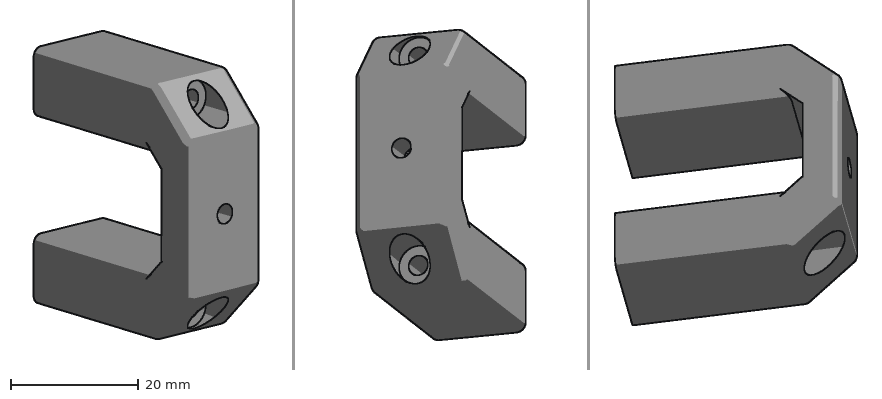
import cadquery as cq

length = 36.0
width = 16.0
height = 42.0

leg_thickness = 11.45
web_thickness = 6.0
outer_chamfer = 8.0
inner_chamfer = 1.97
edge_radius = 1.6

hole_diameter = 3.2
counterbore_diameter = 6.4
leg_hole_height = height / 2 - outer_chamfer / 2
counterbore_floor = length - outer_chamfer

half_height = height / 2
half_gap = half_height - leg_thickness
web_inner_x = length - web_thickness
side_y = width / 2


def make_outer_block():
    """Solid block with chamfered back corners and rounded outer edges."""
    block = cq.Workplane("XY").box(length, width, height, centered=(False, True, True))
    block = block.edges(">X and |Y").chamfer(outer_chamfer)
    open_end_edges = block.faces("<X").edges().vals()
    rounded_edges = [
        edge for edge in block.edges().vals() if not any(edge.isSame(end) for end in open_end_edges)
    ]
    return block.newObject(rounded_edges).fillet(edge_radius)


def make_gap():
    """Opening between the legs, chamfered where it meets the web."""
    return (
        cq.Workplane("XZ", origin=(0, side_y, 0))
        .moveTo(0, -half_gap)
        .lineTo(web_inner_x - inner_chamfer, -half_gap)
        .lineTo(web_inner_x, inner_chamfer - half_gap)
        .lineTo(web_inner_x, half_gap - inner_chamfer)
        .lineTo(web_inner_x - inner_chamfer, half_gap)
        .lineTo(0, half_gap)
        .close()
        .extrude(width)
    )


def make_leg_edge_cutter(y_sign, z_sign):
    """Waste outside the round on a leg's inner edge, ending flush with the inner chamfer."""
    arc_y = y_sign * (side_y - edge_radius)
    arc_z = z_sign * (half_gap + edge_radius)
    corner_y = y_sign * side_y
    corner_z = z_sign * half_gap
    waste = (
        cq.Workplane("YZ")
        .moveTo(arc_y, corner_z)
        .lineTo(corner_y, corner_z)
        .lineTo(corner_y, arc_z)
        .radiusArc((arc_y, corner_z), y_sign * z_sign * edge_radius)
        .close()
        .extrude(web_inner_x)
    )
    chamfer_start = web_inner_x - inner_chamfer
    limit = (
        cq.Workplane("XZ", origin=(0, side_y, 0))
        .moveTo(0, corner_z)
        .lineTo(chamfer_start, corner_z)
        .lineTo(chamfer_start - edge_radius, arc_z)
        .lineTo(0, arc_z)
        .close()
        .extrude(width)
    )
    return waste.intersect(limit)


def make_x_cylinder(diameter, start_x, z):
    """Cylinder along X from start_x to the back of the part."""
    return cq.Workplane("YZ", origin=(start_x, 0, z)).circle(diameter / 2).extrude(length - start_x)


result = make_outer_block().cut(make_gap())

for z_side in (-1, 1):
    for y_side in (-1, 1):
        result = result.cut(make_leg_edge_cutter(y_side, z_side))

for hole_z in (-leg_hole_height, 0, leg_hole_height):
    result = result.cut(make_x_cylinder(hole_diameter, 0, hole_z))

for hole_z in (-leg_hole_height, leg_hole_height):
    result = result.cut(make_x_cylinder(counterbore_diameter, counterbore_floor, hole_z))